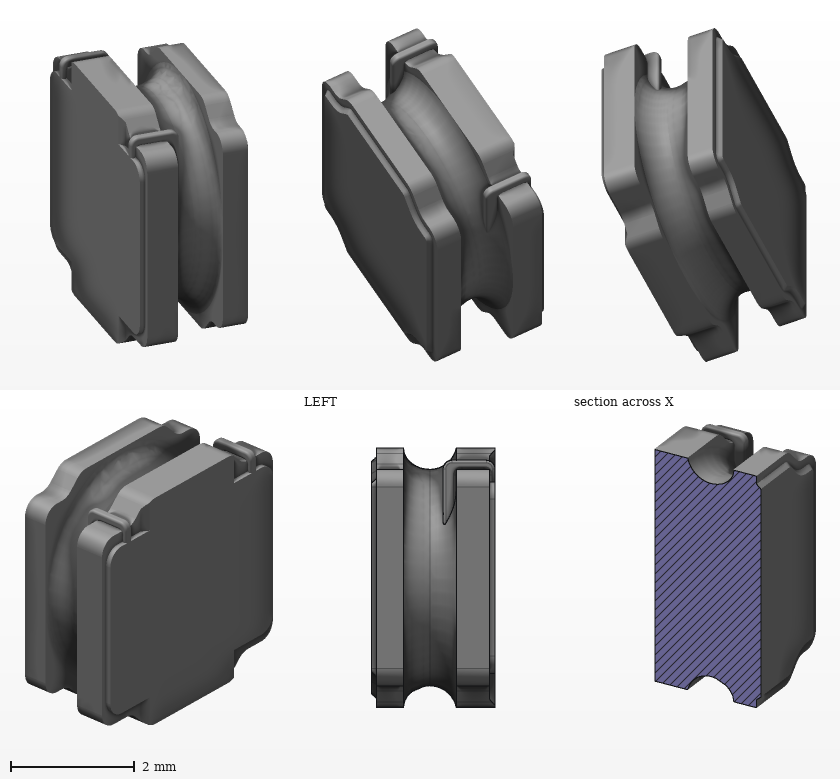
import cadquery as cq
import math

total_depth = 2.0
mount_face_y = -total_depth / 2
back_face_y = total_depth / 2
pad_thickness = 0.09
front_flange_depth = 0.627
groove_width = 0.855
back_cover_thickness = 0.08
front_flange_back_y = mount_face_y + front_flange_depth
back_flange_front_y = front_flange_back_y + groove_width
back_flange_back_y = back_face_y - back_cover_thickness
pad_seat_y = mount_face_y + pad_thickness

front_half_width = 2.1
back_half_width = 1.9
tongue_half_height = 2.1
shoulder_half_height = 1.75
tongue_half_width = 1.017
step_run = tongue_half_height - shoulder_half_height
step_radius = 0.3
corner_radius = 0.28

cover_inset = 0.15
cover_slope_run = 0.07
cover_taper = math.degrees(math.atan2(cover_slope_run, back_cover_thickness))

barrel_rim_radius = tongue_half_height
barrel_waist_radius = 1.752
waist_depth = groove_width / 2
waist_y = front_flange_back_y + waist_depth
flare_depth = barrel_rim_radius - barrel_waist_radius
flare_radius = (waist_depth**2 + flare_depth**2) / (2 * flare_depth)
flare_sections = 6

strip_half_width_face = 1.04
strip_half_width_base = 1.15

pad_half_span = 2.0
pad_half_height = 1.55
pad_corner_radius = 0.28

wire_x = 1.537
wire_width = 0.148
wire_top_z = 1.9
wire_back_y = mount_face_y + 0.84
wire_leg_end_z = 0.5
wire_outer_bend = 0.14
wire_inner_bend = 0.09
wire_edge_radius = 0.044


def plane_at(y):
    """Work plane across Y whose local axes are the global X and Z."""
    return cq.Workplane("XZ", origin=(0, y, 0))


def make_flange(half_width, front_y, back_y):
    """Plate with a stepped tongue at the top and the bottom."""
    step_foot = tongue_half_width + step_run
    quarter = [
        (tongue_half_width, tongue_half_height),
        (step_foot, shoulder_half_height),
        (half_width, shoulder_half_height),
    ]
    upper = [(-x, z) for x, z in reversed(quarter)] + quarter
    lower = [(-x, -z) for x, z in upper]
    plate = plane_at(front_y).polyline(upper + lower).close().extrude(front_y - back_y)
    plate = plate.edges("|Y").edges("not (<X or >X)").fillet(step_radius)
    return plate.edges("|Y and (<X or >X)").fillet(corner_radius)


def make_back_flange():
    """Back flange with the inset, bevelled cover on its outer side."""
    flange = make_flange(back_half_width, back_flange_front_y, back_flange_back_y)
    cover_outline = flange.faces(">Y").wires().toPending().offset2D(-cover_inset)
    return cover_outline.extrude(-back_cover_thickness, taper=cover_taper)


def make_barrel_front():
    """Round half of the barrel, flaring in an arc from the waist to the front flange."""
    return (
        cq.Workplane("YZ")
        .moveTo(front_flange_back_y, 0)
        .lineTo(front_flange_back_y, barrel_rim_radius)
        .radiusArc((waist_y, barrel_waist_radius), -flare_radius)
        .lineTo(waist_y, 0)
        .close()
        .revolve(360, (0, 0, 0), (1, 0, 0))
    )


def make_barrel_back():
    """Half of the barrel that flares from the round waist to an elliptical rim."""
    sections = []
    for index in range(flare_sections + 1):
        angle = math.pi / 2 * index / flare_sections
        flare = 1 - math.cos(angle)
        y = waist_y + waist_depth * math.sin(angle)
        radius_x = barrel_waist_radius + (back_half_width - barrel_waist_radius) * flare
        radius_z = barrel_waist_radius + flare_depth * flare
        section = cq.Wire.makeEllipse(
            radius_z, radius_x, cq.Vector(0, y, 0), cq.Vector(0, 1, 0), cq.Vector(0, 0, 1)
        )
        sections.append(section)
    return cq.Workplane(obj=cq.Solid.makeLoft(sections))


def make_strip():
    """Centre strip of the mounting face, with sloped sides, over the full height."""
    return (
        cq.Workplane("XY", origin=(0, 0, -tongue_half_height))
        .polyline([
            (-strip_half_width_face, mount_face_y),
            (strip_half_width_face, mount_face_y),
            (strip_half_width_base, pad_seat_y),
            (-strip_half_width_base, pad_seat_y),
        ])
        .close()
        .extrude(2 * tongue_half_height)
    )


def make_core():
    full_front_flange = make_flange(front_half_width, mount_face_y, front_flange_back_y)
    seated_flange = make_flange(front_half_width, pad_seat_y, front_flange_back_y)
    strip = make_strip().intersect(full_front_flange)
    barrel = make_barrel_front().union(make_barrel_back())
    return seated_flange.union(strip).union(barrel).union(make_back_flange())


def make_pads():
    """Left and right terminal pads, one on each side of the centre strip."""
    slab = (
        plane_at(mount_face_y)
        .rect(2 * pad_half_span, 2 * pad_half_height)
        .extrude(-pad_thickness)
        .edges("|Y")
        .fillet(pad_corner_radius)
    )
    return slab.cut(make_strip())


def make_block(size_x, y_start, y_end, z_start, z_end):
    """Box centred on X = 0, spanning the given Y and Z ranges."""
    return cq.Workplane("XY").box(size_x, y_end - y_start, z_end - z_start).translate(
        (0, (y_start + y_end) / 2, (z_start + z_end) / 2)
    )


def make_wire(side, core, pads):
    """Bent lead hooked over the front flange, from its pad back to the barrel."""
    outside = make_block(wire_width, mount_face_y, wire_back_y, wire_leg_end_z, wire_top_z)
    outside = outside.edges("|X and >Z").fillet(wire_outer_bend)
    opening = make_block(
        wire_width, pad_seat_y, front_flange_back_y, wire_leg_end_z, shoulder_half_height
    )
    opening = opening.edges("|X and >Z").fillet(wire_inner_bend)
    hook = outside.cut(opening)
    hook = hook.faces("<X or >X").edges().fillet(wire_edge_radius)
    return hook.translate((side * wire_x, 0, 0)).cut(core).cut(pads)


core = make_core()
pads = make_pads()
wires = [make_wire(side, core, pads) for side in (-1, 1)]

result = cq.Compound.makeCompound([
    core.val(),
    *pads.vals(),
    *[wire.val() for wire in wires],
])